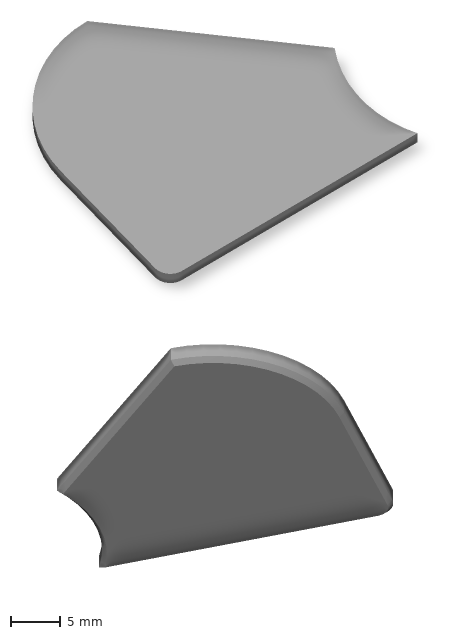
import cadquery as cq
import math

side = 32.0
thickness = 2.0
gauge_radius = 14.0
corner_radius = 2.0
bottom_chamfer = 0.5

notch_chord = gauge_radius
notch_depth = gauge_radius - math.sqrt(gauge_radius**2 - (notch_chord / 2) ** 2)
notch_start = side - notch_chord

convex_mid = gauge_radius * (1 - math.sqrt(0.5))


def gauge_plate():
    """Plate with the gauge edges and a rounded +X, -Y corner."""
    outline = (
        cq.Workplane("XY")
        .moveTo(gauge_radius, 0)
        .lineTo(side, 0)
        .lineTo(side, side)
        .threePointArc((side - notch_chord / 2, side - notch_depth), (notch_start, side))
        .lineTo(0, gauge_radius)
        .threePointArc((convex_mid, convex_mid), (gauge_radius, 0))
        .close()
    )
    plate = outline.extrude(thickness)
    return plate.edges("|Z").edges(cq.selectors.NearestToPointSelector((side, 0, 0))).fillet(corner_radius)


result = gauge_plate().faces("<Z").edges().chamfer(bottom_chamfer)